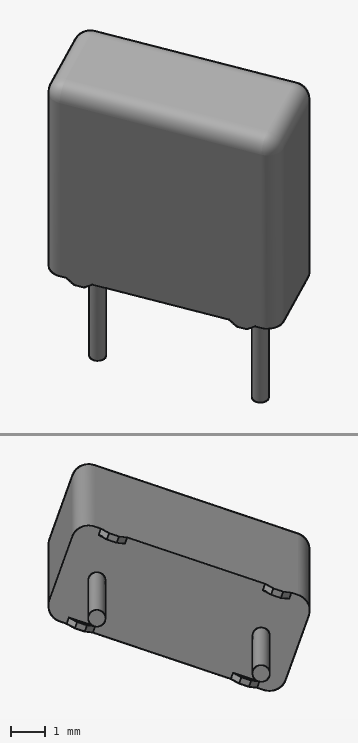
import cadquery as cq

case_length = 7.2
case_width = 3.0
edge_radius = 0.5

case_top = 7.5
foot_height = 0.2
lead_tip_depth = 4.0

foot_top_width = 0.8
foot_bottom_width = 0.3
foot_thickness = 0.2

lead_diameter = 0.5
lead_pitch = 5.0
lead_positions = (-lead_pitch / 2, lead_pitch / 2)


def make_foot(lead_x, front_face_y):
    """Foot with its -Y face at front_face_y, extending towards +Y."""
    return (
        cq.Workplane("XZ", origin=(lead_x, front_face_y, 0))
        .moveTo(-foot_top_width / 2, foot_height)
        .lineTo(-foot_bottom_width / 2, 0)
        .lineTo(foot_bottom_width / 2, 0)
        .lineTo(foot_top_width / 2, foot_height)
        .close()
        .extrude(-foot_thickness)
    )


def make_case():
    """Rounded box with feet flush with its front and back faces, each foot keeping its seam."""
    case = (
        cq.Workplane("XY", origin=(0, 0, foot_height))
        .rect(case_length, case_width)
        .extrude(case_top - foot_height)
        .edges("|Z or >Z")
        .fillet(edge_radius)
    )
    for lead_x in lead_positions:
        for foot_y in (-case_width / 2, case_width / 2 - foot_thickness):
            case = case.union(make_foot(lead_x, foot_y), clean=False)
    return case


def make_lead(lead_x):
    """Straight round lead from its tip up to the underside of the case."""
    return (
        cq.Workplane("XY", origin=(lead_x, 0, -lead_tip_depth))
        .circle(lead_diameter / 2)
        .extrude(lead_tip_depth + foot_height)
    )


case = make_case()
leads = [make_lead(lead_x) for lead_x in lead_positions]

result = cq.Compound.makeCompound([case.solids().val(), *[lead.val() for lead in leads]])